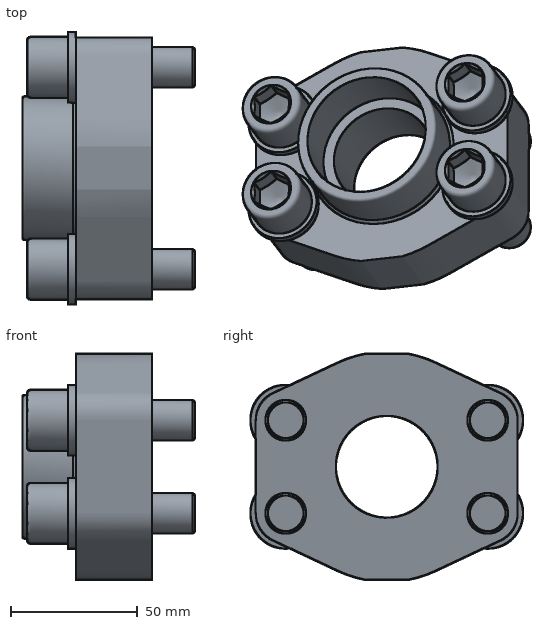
import cadquery as cq
import math

plate_thickness = 30.0
plate_width = 103.1
plate_height = 89.0
crown_radius = 45.3

bolt_spacing_y = 79.5
bolt_spacing_z = 36.6
bolt_y = bolt_spacing_y / 2
bolt_z = bolt_spacing_z / 2

collar_length = 21.0
collar_radius = 28.4
collar_edge_round = 1.1
collar_root_bevel = 1.2
through_bore_radius = 20.0
pipe_bore_radius = 24.3
pipe_bore_depth = 22.5

washer_radius = 14.0
washer_thickness = 3.1
head_radius = 12.0
head_height = 16.1
head_edge_round = 1.6
shank_diameter = 16.0
shank_projection = 17.0
shank_chamfer = 1.0
hex_across_flats = 14.0
hex_lead_in_radius = 8.2
hex_depth = 8.1
hex_tip_angle = 120.0

corner_radius = plate_width / 2 - bolt_y


def mirrored(point, y_sign, z_sign):
    return (y_sign * point[0], z_sign * point[1])


def on_circle(centre, radius, angle):
    return (centre[0] + radius * math.cos(angle), centre[1] + radius * math.sin(angle))


def cylinder(radius, x_start, x_end):
    return cq.Workplane("YZ", origin=(x_start, 0, 0)).circle(radius).extrude(x_end - x_start)


def turned(profile):
    return cq.Workplane("XY").polyline(profile).close().revolve(360, (0, 0, 0), (1, 0, 0))


def make_plate():
    centre_distance = math.hypot(bolt_y, bolt_z)
    flank_normal = math.atan2(bolt_z, bolt_y) + math.acos((crown_radius - corner_radius) / centre_distance)
    crown_start_angle = math.asin(plate_height / 2 / crown_radius)
    crown_mid_angle = (crown_start_angle + flank_normal) / 2

    bolt = (bolt_y, bolt_z)
    crown_start = on_circle((0, 0), crown_radius, crown_start_angle)
    crown_mid = on_circle((0, 0), crown_radius, crown_mid_angle)
    crown_end = on_circle((0, 0), crown_radius, flank_normal)
    corner_start = on_circle(bolt, corner_radius, flank_normal)
    corner_mid = on_circle(bolt, corner_radius, flank_normal / 2)
    corner_end = on_circle(bolt, corner_radius, 0)
    from_crown = [crown_start, crown_mid, crown_end, corner_start, corner_mid, corner_end]
    to_crown = from_crown[::-1]

    outline = cq.Workplane("YZ").moveTo(*mirrored(crown_start, -1, 1))
    quadrants = [(from_crown, 1, 1), (to_crown, 1, -1), (from_crown, -1, -1), (to_crown, -1, 1)]
    for path, y_sign, z_sign in quadrants:
        start, arc_1_mid, arc_1_end, arc_2_start, arc_2_mid, end = [
            mirrored(point, y_sign, z_sign) for point in path
        ]
        outline = outline.lineTo(*start)
        outline = outline.threePointArc(arc_1_mid, arc_1_end)
        outline = outline.lineTo(*arc_2_start)
        outline = outline.threePointArc(arc_2_mid, end)
    return outline.close().extrude(plate_thickness)


def make_collar():
    collar = cylinder(collar_radius, -collar_length, 0)
    collar = collar.faces("<X").edges().fillet(collar_edge_round)
    root_radius = collar_radius + collar_root_bevel
    root = turned([(-collar_root_bevel, 0), (-collar_root_bevel, collar_radius), (0, root_radius), (0, 0)])
    return collar.union(root)


def make_hex_socket(head_face):
    corner_reach = hex_across_flats / math.sqrt(3)
    floor = head_face + hex_depth
    tip_depth = corner_reach / math.tan(math.radians(hex_tip_angle / 2))
    prism = (
        cq.Workplane("YZ", origin=(head_face, 0, 0))
        .transformed(rotate=(0, 0, 90))
        .polygon(6, 2 * corner_reach)
        .extrude(hex_depth + tip_depth)
    )
    envelope = turned(
        [(head_face, 0), (head_face, corner_reach), (floor, corner_reach), (floor + tip_depth, 0)]
    )
    lead_in = turned(
        [(head_face, 0), (head_face, hex_lead_in_radius), (head_face + hex_lead_in_radius, 0)]
    )
    return prism.intersect(envelope).union(lead_in)


def make_bolt():
    head_face = -washer_thickness - head_height
    head = cylinder(head_radius, head_face, -washer_thickness)
    head = head.faces("<X").edges().fillet(head_edge_round)
    washer = cylinder(washer_radius, -washer_thickness, 0)
    shank = cylinder(shank_diameter / 2, -washer_thickness, plate_thickness + shank_projection)
    shank = shank.faces(">X").edges().chamfer(shank_chamfer)
    return head.cut(make_hex_socket(head_face)).union(washer).union(shank)


def make_flange():
    flange = make_plate().union(make_collar())
    flange = flange.cut(cylinder(through_bore_radius, -collar_length, plate_thickness))
    return flange.cut(cylinder(pipe_bore_radius, -collar_length, pipe_bore_depth - collar_length))


result = make_flange()
bolt = make_bolt()
for y in (-bolt_y, bolt_y):
    for z in (-bolt_z, bolt_z):
        result = result.union(bolt.translate((0, y, z)))